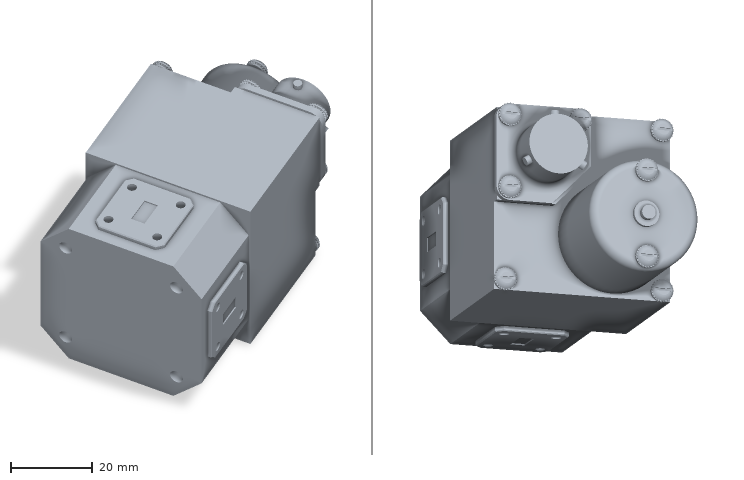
import cadquery as cq
import math

HEAD_SIZE = 44.5
HEAD_LENGTH = 25.3
HEAD_CHAMFER = 7.8
MOUNT_HOLE_DIA = 3.6
MOUNT_HOLE_SPACING = 30.6
MOUNT_HOLE_DEPTH = 7.2

DRILL_POINT_ANGLE = 118.0

PORT_SPAN = 47.0
PAD_SIZE = 19.1
PAD_CORNER = 1.7
PAD_EDGE_CHAMFER = 0.3
PAD_HEIGHT = (PORT_SPAN - HEAD_SIZE) / 2
PAD_Y = HEAD_LENGTH / 2
PORT_HOLE_DIA = 2.4
PORT_HOLE_SPACING_Y = 12.7
PORT_HOLE_SPACING_ACROSS = 13.5
PORT_HOLE_DEPTH = 3.6
WINDOW_LENGTH = 7.2
WINDOW_WIDTH = 3.7
WINDOW_DEPTH = 0.4

BODY_SIZE = 45.5
BODY_LENGTH = 35.1
BODY_END = HEAD_LENGTH + BODY_LENGTH

STEP_SIZE = 23.4
STEP_HEIGHT = 2.15
STEP_CUT = 8.3
STEP_CENTER = (BODY_SIZE - STEP_SIZE) / 2
STEP_END = BODY_END + STEP_HEIGHT

CONNECTOR_POS = 11.2
FLANGE_SIZE = 24.4
FLANGE_THICKNESS = 1.8
FLANGE_CORNER_RADIUS = 3.6
FLANGE_CUT = 10.1
FLANGE_END = STEP_END + FLANGE_THICKNESS
SHELL_DIA = 15.1
SHELL_LENGTH = 11.85
SHELL_ROOT_FILLET = 1.3
PIN_DIA = 2.2
PIN_REACH = 8.9
PIN_Y = FLANGE_END + 8.9
PIN_ANGLES = (90, 210, 330)

MOTOR_POS = -7.7
MOTOR_DIA = 27.9
MOTOR_LENGTH = 26.6
MOTOR_FILLET = 2.0
MOTOR_END = BODY_END + MOTOR_LENGTH
COLLAR_DIA = 6.5
COLLAR_HEIGHT = 1.1
TOTAL_LENGTH = 89.8
SHAFT_DIA = 3.5
SHAFT_HEIGHT = TOTAL_LENGTH - MOTOR_END

WASHER_DIA = 5.2
WASHER_HEIGHT = 0.5
TOOTH_COUNT = 24
TOOTH_TIP_DIA = 5.75
TOOTH_ROOT_DIA = 4.85
TOOTH_ROW_HEIGHT = 0.45
BAND_DIA = 5.7
BAND_HEIGHT = 0.4
DOME_BASE_DIA = 5.4
DOME_TOP_DIA = 2.9
DOME_HEIGHT = 0.8
DOME_ARC_RADIUS = 1.7
SLOT_WIDTH = 0.6
SLOT_DEPTH = 0.4
BODY_SCREW_OFFSET = 20.3
FLANGE_SCREW_OFFSET = 9.2
MOTOR_SCREW_OFFSET = 10.95


def across(y, x=0.0, z=0.0):
    """Workplane across the Y axis with local axes X and Z; negative extrusions go toward +Y."""
    return cq.Workplane("XZ", origin=(x, y, z))


def disc(dia, height, y, x=0.0, z=0.0):
    """Cylinder along +Y that starts at the given point."""
    return across(y, x, z).circle(dia / 2).extrude(-height)


def drill_tool(dia, depth):
    """Drill along -Z from the origin: full diameter to the depth, then a conical point."""
    radius = dia / 2
    point_length = radius / math.tan(math.radians(DRILL_POINT_ANGLE / 2))
    return (
        cq.Workplane("XZ")
        .lineTo(radius, 0)
        .lineTo(radius, -depth)
        .lineTo(0, -depth - point_length)
        .close()
        .revolve(360, (0, 0), (0, 1))
    )


def make_head():
    head = across(0).rect(HEAD_SIZE, HEAD_SIZE).extrude(-HEAD_LENGTH)
    head = head.edges("|Y").chamfer(HEAD_CHAMFER)
    drill = drill_tool(MOUNT_HOLE_DIA, MOUNT_HOLE_DEPTH).rotate((0, 0, 0), (1, 0, 0), 90)
    offset = MOUNT_HOLE_SPACING / 2
    for x in (-offset, offset):
        for z in (-offset, offset):
            head = head.cut(drill.translate((x, 0, z)))
    return head


def make_pad():
    """Port pad on the +Z flat of the head."""
    pad = cq.Workplane("XY", origin=(0, PAD_Y, HEAD_SIZE / 2)).rect(PAD_SIZE, PAD_SIZE).extrude(PAD_HEIGHT)
    pad = pad.edges("|Z").chamfer(PAD_CORNER)
    return pad.faces(">Z").chamfer(PAD_EDGE_CHAMFER)


def make_port_cuts():
    """Screw holes and shallow waveguide window of the +Z port."""
    face_z = PORT_SPAN / 2
    face = cq.Workplane("XY", origin=(0, PAD_Y, face_z))
    cuts = face.rect(WINDOW_WIDTH, WINDOW_LENGTH).extrude(-WINDOW_DEPTH)
    drill = drill_tool(PORT_HOLE_DIA, PORT_HOLE_DEPTH)
    for x_side in (-1, 1):
        for y_side in (-1, 1):
            x = x_side * PORT_HOLE_SPACING_ACROSS / 2
            y = PAD_Y + y_side * PORT_HOLE_SPACING_Y / 2
            cuts = cuts.union(drill.translate((x, y, face_z)))
    return cuts


def make_cut_square(size, thickness, cut_leg, y, center):
    """Square plate along +Y whose -X -Z corner is cut off diagonally."""
    low = center - size / 2
    high = center + size / 2
    return (
        across(y)
        .moveTo(low + cut_leg, low)
        .lineTo(high, low)
        .lineTo(high, high)
        .lineTo(low, high)
        .lineTo(low, low + cut_leg)
        .close()
        .extrude(-thickness)
    )


def make_body():
    block = across(HEAD_LENGTH).rect(BODY_SIZE, BODY_SIZE).extrude(-BODY_LENGTH)
    step = make_cut_square(STEP_SIZE, STEP_HEIGHT, STEP_CUT, BODY_END, STEP_CENTER)
    return block.union(step)


def make_connector():
    outline = make_cut_square(FLANGE_SIZE, FLANGE_THICKNESS, FLANGE_CUT, STEP_END, CONNECTOR_POS)
    rounded = (
        across(STEP_END, CONNECTOR_POS, CONNECTOR_POS)
        .rect(FLANGE_SIZE, FLANGE_SIZE)
        .extrude(-FLANGE_THICKNESS)
        .edges("|Y")
        .fillet(FLANGE_CORNER_RADIUS)
    )
    flange = outline.intersect(rounded)
    shell_radius = SHELL_DIA / 2
    root_radius = shell_radius + SHELL_ROOT_FILLET
    shell = (
        cq.Workplane("XY")
        .lineTo(root_radius, 0)
        .radiusArc((shell_radius, SHELL_ROOT_FILLET), SHELL_ROOT_FILLET)
        .lineTo(shell_radius, SHELL_LENGTH)
        .lineTo(0, SHELL_LENGTH)
        .close()
        .revolve(360, (0, 0), (0, 1))
        .translate((CONNECTOR_POS, FLANGE_END, CONNECTOR_POS))
    )
    connector = flange.union(shell)
    for angle in PIN_ANGLES:
        direction = cq.Vector(math.cos(math.radians(angle)), 0, math.sin(math.radians(angle)))
        axis_point = cq.Vector(CONNECTOR_POS, PIN_Y, CONNECTOR_POS)
        connector = connector.union(cq.Solid.makeCylinder(PIN_DIA / 2, PIN_REACH, axis_point, direction))
    return connector


def make_motor():
    can = disc(MOTOR_DIA, MOTOR_LENGTH, BODY_END, MOTOR_POS, MOTOR_POS)
    can = can.faces(">Y").edges().fillet(MOTOR_FILLET)
    collar = disc(COLLAR_DIA, COLLAR_HEIGHT, MOTOR_END, MOTOR_POS, MOTOR_POS)
    shaft = disc(SHAFT_DIA, SHAFT_HEIGHT, MOTOR_END, MOTOR_POS, MOTOR_POS)
    return can.union(collar).union(shaft)


def make_tooth_row(y):
    """Thin star-shaped disc: one row of lock washer teeth."""
    points = []
    for i in range(2 * TOOTH_COUNT):
        dia = TOOTH_TIP_DIA if i % 2 == 0 else TOOTH_ROOT_DIA
        radius = dia / 2
        angle = math.pi * i / TOOTH_COUNT
        points.append((radius * math.cos(angle), radius * math.sin(angle)))
    return across(y).polyline(points).close().extrude(-TOOTH_ROW_HEIGHT)


def make_screw():
    """Screw along +Y, seated at the origin, with its slot along X."""
    band_y = WASHER_HEIGHT + TOOTH_ROW_HEIGHT
    upper_row_y = band_y + BAND_HEIGHT
    dome_y = upper_row_y + TOOTH_ROW_HEIGHT
    top_y = dome_y + DOME_HEIGHT
    dome = (
        cq.Workplane("XY")
        .moveTo(0, dome_y)
        .lineTo(DOME_BASE_DIA / 2, dome_y)
        .radiusArc((DOME_TOP_DIA / 2, top_y), -DOME_ARC_RADIUS)
        .lineTo(0, top_y)
        .close()
        .revolve(360, (0, 0), (0, 1))
    )
    slot = across(top_y - SLOT_DEPTH).rect(DOME_BASE_DIA, SLOT_WIDTH).extrude(-SLOT_DEPTH)
    return (
        disc(WASHER_DIA, WASHER_HEIGHT, 0)
        .union(make_tooth_row(WASHER_HEIGHT))
        .union(disc(BAND_DIA, BAND_HEIGHT, band_y))
        .union(make_tooth_row(upper_row_y))
        .union(dome)
        .cut(slot)
    )


def screw_seats():
    """Seat points: free body corners, uncut flange corners and motor end."""
    corner = BODY_SCREW_OFFSET
    body = [(-corner, BODY_END, corner), (-corner, BODY_END, -corner), (corner, BODY_END, -corner)]
    near = CONNECTOR_POS - FLANGE_SCREW_OFFSET
    far = CONNECTOR_POS + FLANGE_SCREW_OFFSET
    flange = [(near, FLANGE_END, far), (far, FLANGE_END, far), (far, FLANGE_END, near)]
    motor = [
        (MOTOR_POS, MOTOR_END, MOTOR_POS + MOTOR_SCREW_OFFSET),
        (MOTOR_POS, MOTOR_END, MOTOR_POS - MOTOR_SCREW_OFFSET),
    ]
    return body + flange + motor


result = make_head().union(make_body()).union(make_connector()).union(make_motor())

pad = make_pad()
port_cuts = make_port_cuts()
for turn in range(0, 360, 90):
    result = result.union(pad.rotate((0, 0, 0), (0, 1, 0), turn))
    result = result.cut(port_cuts.rotate((0, 0, 0), (0, 1, 0), turn))

screw = make_screw()
for seat in screw_seats():
    result = result.union(screw.translate(seat))